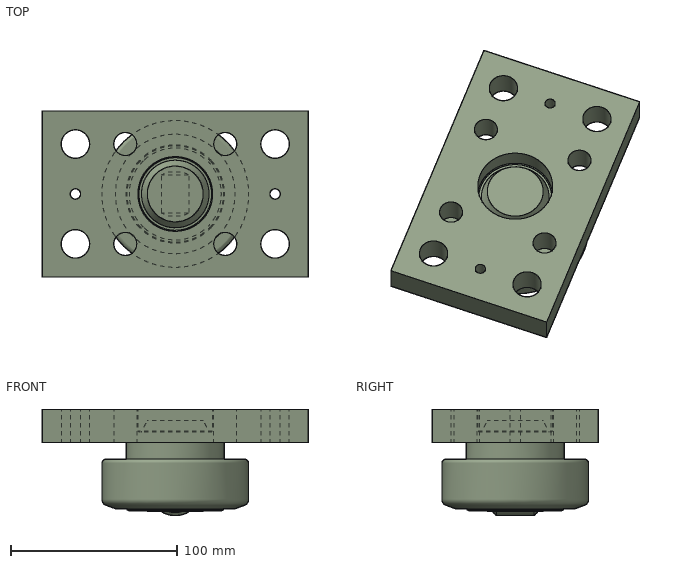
import cadquery as cq

plate_length = 160.0
plate_width = 100.0
plate_thickness = 20.0
hole_pitch = 60.0
hole_x = hole_pitch / 2
hole_y = hole_pitch / 2
corner_hole_x = hole_pitch
corner_hole_diameter = 17.0
inner_hole_diameter = 13.8
pin_hole_diameter = 6.0

recess_diameter = 45.0
floor_diameter = 43.7
recess_depth = 13.6
floor_chamfer = (recess_diameter - floor_diameter) / 2
plug_base_diameter = 40.6
plug_top_diameter = 33.6
plug_top_depth = 6.7

stem_diameter = 59.0
ring_diameter = 88.3
ring_top = -10.0
ring_top_rounding = 2.2
ring_top_arc_radius = 3.0
ring_side_bottom = -34.0
ring_corner_radius = 41.6
ring_corner_z = -37.8
ring_corner_mid_radius = 43.5
ring_corner_mid_z = -36.3
ring_bottom_radius = 36.0
ring_bottom = -39.8
cover_outer_diameter = 58.0
cover_inner_diameter = 55.4
cover_rim_z = -40.5
cover_bottom = -41.1
boss_diameter = 33.3
boss_bottom = -41.6

roller_radius = 15.7
roller_length = 26.5
roller_chamfer = 2.0
roller_bottom = -44.0


def drill(body, points, diameter):
    """Drill vertical holes through the plate."""
    holes = (
        cq.Workplane("XY")
        .pushPoints(points)
        .circle(diameter / 2)
        .extrude(plate_thickness)
    )
    return body.cut(holes)


def four_points(x, y):
    return [(sx * x, sy * y) for sx in (-1, 1) for sy in (-1, 1)]


def make_plate():
    plate = cq.Workplane("XY").box(
        plate_length, plate_width, plate_thickness, centered=(True, True, False)
    )
    plate = drill(plate, four_points(corner_hole_x, hole_y), corner_hole_diameter)
    plate = drill(plate, four_points(hole_x, hole_y), inner_hole_diameter)
    return drill(plate, [(-corner_hole_x, 0), (corner_hole_x, 0)], pin_hole_diameter)


def make_recess():
    """Ring-shaped cavity around the plug, open at the top of the plate."""
    floor_z = plate_thickness - recess_depth
    cavity = (
        cq.Workplane("XY", origin=(0, 0, floor_z))
        .circle(recess_diameter / 2)
        .extrude(recess_depth)
        .faces("<Z")
        .chamfer(floor_chamfer)
    )
    plug = (
        cq.Workplane("XY", origin=(0, 0, floor_z))
        .circle(plug_base_diameter / 2)
        .workplane(offset=recess_depth - plug_top_depth)
        .circle(plug_top_diameter / 2)
        .loft()
    )
    return cavity.cut(plug)


def make_bearing():
    """Stem, outer ring and stepped bottom cover turned about Z."""
    ring_radius = ring_diameter / 2
    return (
        cq.Workplane("XZ")
        .lineTo(stem_diameter / 2, 0)
        .lineTo(stem_diameter / 2, ring_top)
        .lineTo(ring_radius - ring_top_rounding, ring_top)
        .radiusArc((ring_radius, ring_top - ring_top_rounding), ring_top_arc_radius)
        .lineTo(ring_radius, ring_side_bottom)
        .threePointArc(
            (ring_corner_mid_radius, ring_corner_mid_z),
            (ring_corner_radius, ring_corner_z),
        )
        .lineTo(ring_bottom_radius, ring_bottom)
        .lineTo(cover_outer_diameter / 2, ring_bottom)
        .lineTo(cover_outer_diameter / 2, cover_rim_z)
        .lineTo(cover_inner_diameter / 2, cover_bottom)
        .lineTo(boss_diameter / 2, cover_bottom)
        .lineTo(boss_diameter / 2, boss_bottom)
        .lineTo(0, boss_bottom)
        .close()
        .revolve(360, (0, 0), (0, 1))
    )


def make_roller():
    return (
        cq.Workplane("XZ", origin=(0, 0, roller_bottom + roller_radius))
        .circle(roller_radius)
        .extrude(roller_length / 2, both=True)
        .edges()
        .chamfer(roller_chamfer)
    )


plate_with_recess = make_plate().cut(make_recess())
result = plate_with_recess.union(make_bearing()).union(make_roller())